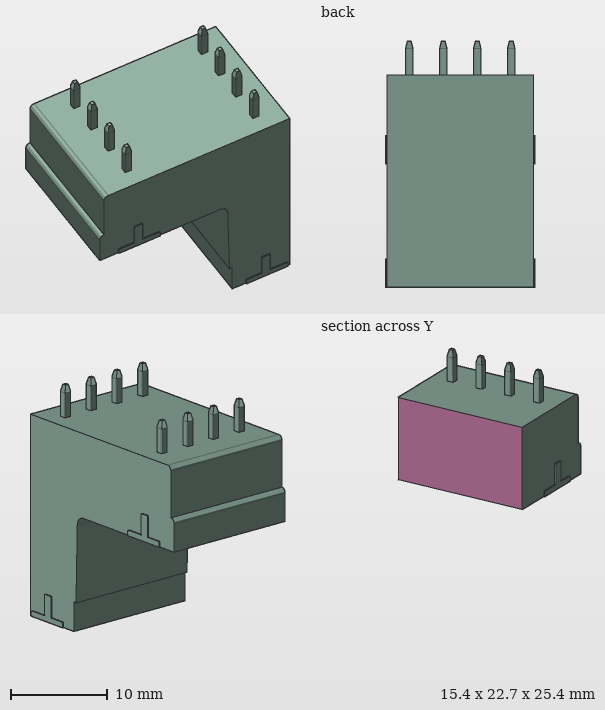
import cadquery as cq

BODY_WIDTH = 15.15
BODY_DEPTH = 22.7
BODY_TOP = 21.92
ARM_UNDERSIDE = 12.7
FRONT_STEP = 0.5
FRONT_STEP_HEIGHT = 16.3
FRONT_ROUND = 0.5
LEG_FOOT_DEPTH = 6.88
LEG_FOOT_HEIGHT = 3.2
LEG_STEP_DEPTH = 7.21
LEG_TOP_DEPTH = 7.45
INNER_CORNER_RADIUS = 1.0

OVERALL_HEIGHT = 25.4
PIN_COUNT = 4
PIN_PITCH = 3.5
PIN_ROW_SPACING = 15.25
BACK_PIN_ROW = 2.9
PIN_WIDTH = 0.8
PIN_EDGE_ROUND = 0.08
PIN_TAPER_HEIGHT = 0.8
PIN_TIP_WIDTH = 0.4

PAD_THICKNESS = 0.13
PAD_HEIGHT = 2.95
PAD_STEM_WIDTH = 1.02
PAD_BASE_WIDTH = 5.0
PAD_BASE_HEIGHT = 0.6
PAD_BASE_SHIFT = 0.13
PAD_BASE_ROUND = 0.2
PAD_STEM_ROUND = 0.1


def make_housing():
    """L-shaped body with a stepped, rounded front and a tapered leg."""
    upper_front = -(BODY_DEPTH - FRONT_STEP)
    body = (
        cq.Workplane("YZ")
        .moveTo(0, 0)
        .lineTo(0, BODY_TOP)
        .lineTo(upper_front + FRONT_ROUND, BODY_TOP)
        .radiusArc((upper_front, BODY_TOP - FRONT_ROUND), -FRONT_ROUND)
        .lineTo(upper_front, FRONT_STEP_HEIGHT)
        .radiusArc((-BODY_DEPTH, FRONT_STEP_HEIGHT - FRONT_ROUND), -FRONT_ROUND)
        .lineTo(-BODY_DEPTH, ARM_UNDERSIDE)
        .lineTo(-LEG_TOP_DEPTH, ARM_UNDERSIDE)
        .lineTo(-LEG_STEP_DEPTH, LEG_FOOT_HEIGHT)
        .lineTo(-LEG_FOOT_DEPTH, LEG_FOOT_HEIGHT)
        .lineTo(-LEG_FOOT_DEPTH, 0)
        .close()
        .extrude(BODY_WIDTH / 2, both=True)
    )
    inner_corner = cq.NearestToPointSelector((0, -LEG_TOP_DEPTH, ARM_UNDERSIDE))
    return body.edges("|X").edges(inner_corner).fillet(INNER_CORNER_RADIUS)


def make_pin(x, y):
    """Square pin with rounded long edges, cut to a blunt pyramid at the top."""
    taper_start = OVERALL_HEIGHT - PIN_TAPER_HEIGHT
    shaft = (
        cq.Workplane("XY", origin=(x, y, BODY_TOP))
        .rect(PIN_WIDTH, PIN_WIDTH)
        .extrude(OVERALL_HEIGHT - BODY_TOP)
        .edges("|Z")
        .fillet(PIN_EDGE_ROUND)
    )
    pointed_envelope = (
        cq.Workplane("XY", origin=(x, y, BODY_TOP))
        .rect(PIN_WIDTH, PIN_WIDTH)
        .extrude(taper_start - BODY_TOP)
        .faces(">Z")
        .workplane()
        .rect(PIN_WIDTH, PIN_WIDTH)
        .workplane(offset=PIN_TAPER_HEIGHT)
        .rect(PIN_TIP_WIDTH, PIN_TIP_WIDTH)
        .loft(ruled=True)
    )
    return shaft.intersect(pointed_envelope)


def make_pad_pair(y, z):
    """Upside-down T running through the body so it shows on both sides."""
    length = BODY_WIDTH + 2 * PAD_THICKNESS
    stem = (
        cq.Workplane("XY", origin=(0, y, z))
        .box(length, PAD_STEM_WIDTH, PAD_HEIGHT, centered=(True, True, False))
        .edges("|X and >Z")
        .fillet(PAD_STEM_ROUND)
    )
    base = (
        cq.Workplane("XY", origin=(0, y + PAD_BASE_SHIFT, z))
        .box(length, PAD_BASE_WIDTH, PAD_BASE_HEIGHT, centered=(True, True, False))
        .edges("|X and >Z")
        .fillet(PAD_BASE_ROUND)
    )
    return stem.union(base)


result = make_housing()

for row, pad_bottom in enumerate((0, ARM_UNDERSIDE)):
    row_y = -(BACK_PIN_ROW + row * PIN_ROW_SPACING)
    result = result.union(make_pad_pair(row_y, pad_bottom))
    for column in range(PIN_COUNT):
        pin_x = (column - (PIN_COUNT - 1) / 2) * PIN_PITCH
        result = result.union(make_pin(pin_x, row_y))